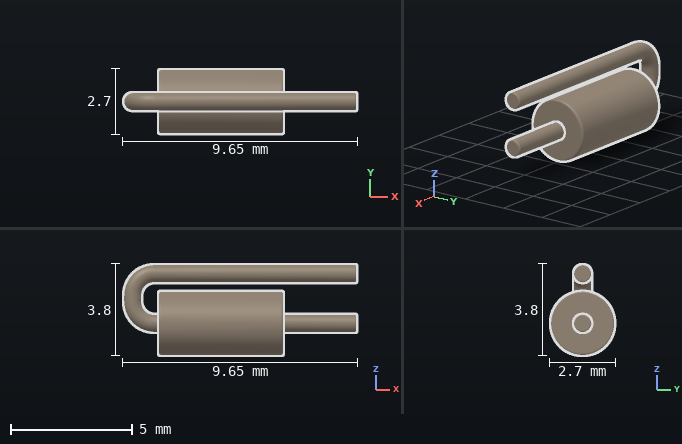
import cadquery as cq

total_length = 9.65
total_height = 3.8

body_diameter = 2.7
body_start = 1.44
body_length = 5.2
body_edge_radius = 0.12

wire_diameter = 0.8
bend_radius = 0.9
wire_end_radius = 0.1

wire_radius = wire_diameter / 2
body_end = body_start + body_length
body_middle = body_start + body_length / 2
upper_wire_z = total_height - body_diameter / 2 - wire_radius
bend_left = wire_radius
bend_right = bend_left + bend_radius
bend_offset = bend_radius * 2 ** -0.5


def make_body():
    """Cylinder with rounded rims."""
    cylinder = cq.Workplane("YZ", origin=(body_start, 0, 0)).circle(body_diameter / 2).extrude(body_length)
    return cylinder.edges().fillet(body_edge_radius)


def make_straight_lead():
    """Lead leaving the +X face of the body."""
    lead = cq.Workplane("YZ", origin=(body_middle, 0, 0)).circle(wire_radius).extrude(total_length - body_middle)
    return lead.faces(">X").edges().fillet(wire_end_radius)


def make_folded_lead():
    """Lead leaving the -X face, folded back over the body through two quarter bends."""
    path = (
        cq.Workplane("XZ")
        .moveTo(body_middle, 0)
        .lineTo(bend_right, 0)
        .threePointArc((bend_right - bend_offset, bend_radius - bend_offset), (bend_left, bend_radius))
        .lineTo(bend_left, upper_wire_z - bend_radius)
        .threePointArc(
            (bend_right - bend_offset, upper_wire_z - bend_radius + bend_offset),
            (bend_right, upper_wire_z),
        )
        .lineTo(total_length, upper_wire_z)
    )
    lead = cq.Workplane("YZ", origin=(body_middle, 0, 0)).circle(wire_radius).sweep(path)
    return lead.faces(">X").edges().fillet(wire_end_radius)


result = make_body().union(make_straight_lead()).union(make_folded_lead())